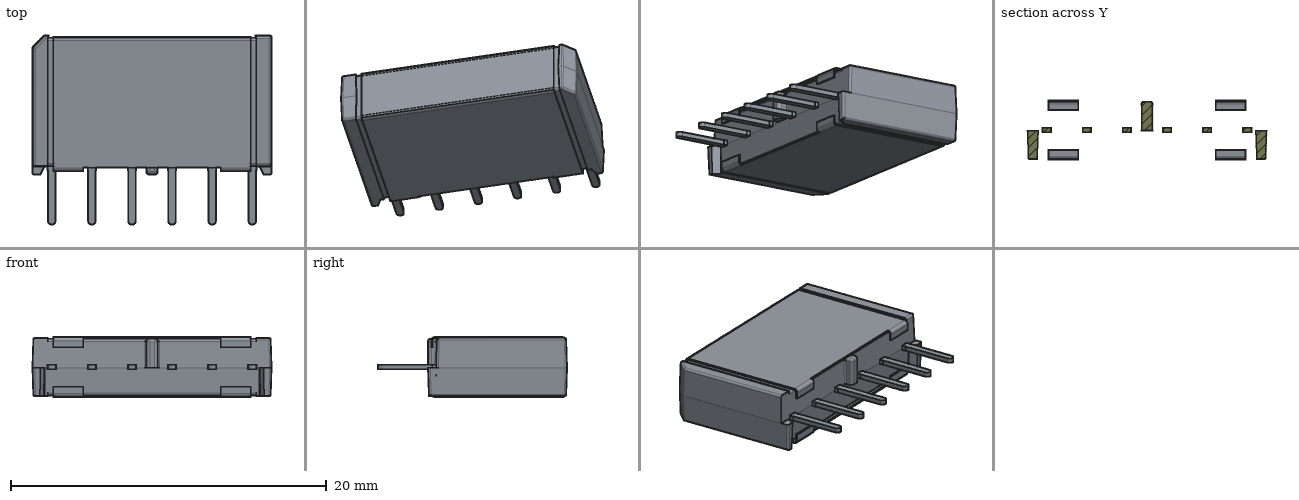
import cadquery as cq
import math


length = 15.16
depth = 8.31
overall_depth = 11.99
parting_z = -0.03
housing_half_height = 1.85
draft_angle = 1.9
corner_cut = 0.76
edge_radius = 0.14
end_block_inner_x = 6.55

inner_wall_margin = 0.12
face_margin = 0.15

foot_drop = 0.52
foot_tip_width = 0.52
foot_root_width = 0.77

core_half_height = 1.8
core_back_y = 8.15
core_edge_radius = 0.17

cover_length = 12.49
cover_front_y = -0.08
cover_back_y = 8.23
cover_height = 3.8
cover_half_height = cover_height / 2
cover_bend_radius = 0.23
tab_length = 1.9
tab_front_y = -0.3
tab_edge_z = 1.26
sheet_thickness = cover_half_height - core_half_height

rib_width = 0.73
rib_drop = 0.52
rib_top_z = 1.8
rib_edge_radius = 0.21
rib_root_radius = 0.1

pin_count = 6
pin_row_span = 12.7
pin_pitch = pin_row_span / (pin_count - 1)
pin_width = 0.49
pin_thickness = 0.3
pin_tip_y = depth - overall_depth
shoulder_width = 0.55
shoulder_end_y = -0.25
pin_root_y = 0.76

upper_height = housing_half_height - parting_z
lower_height = housing_half_height + parting_z
draft_slope = math.tan(math.radians(draft_angle))


def drafted(outline, height):
    """Extrude an outline from the parting plane, up or down, narrowing away from it."""
    base = cq.Workplane("XY", origin=(0, 0, parting_z)).polyline(outline).close()
    return base.extrude(height, taper=draft_angle)


def block_outline(side, has_foot):
    """Plan outline of one end block; side is -1 for the left and 1 for the right."""
    half = length / 2
    back = [(half, depth), (end_block_inner_x, depth)]
    if side < 0:
        back = [(half, depth - corner_cut), (half - corner_cut, depth), (end_block_inner_x, depth)]
    front = [(end_block_inner_x, 0), (half, 0)]
    if has_foot:
        front = [
            (end_block_inner_x, 0),
            (half - foot_root_width, 0),
            (half - foot_tip_width, -foot_drop),
            (half, -foot_drop),
        ]
    return [(side * x, y) for x, y in front + back]


def edges_in_plan(side, x_range, y_range):
    """Select edges by the plan position of their centres, with x measured outwards."""
    x_low, x_high = sorted(side * x for x in x_range)
    y_low, y_high = y_range
    return cq.selectors.BoxSelector((x_low, y_low, -length), (x_high, y_high, length))


def end_block(side):
    """One end of the housing, with rounded outer edges and a foot on its lower half."""
    upper_front_limit = -face_margin if side > 0 else face_margin
    outer_range = (end_block_inner_x + inner_wall_margin, length)
    side_and_back = edges_in_plan(side, outer_range, (face_margin, length))
    upper_rounding = edges_in_plan(side, outer_range, (upper_front_limit, length))
    foot_tip = edges_in_plan(side, (length / 2 - face_margin, length), (-length, face_margin - foot_drop))

    upper = drafted(block_outline(side, False), upper_height)
    upper = upper.edges("not <Z").edges(upper_rounding).fillet(edge_radius)
    lower = drafted(block_outline(side, True), -lower_height)
    lower = lower.edges("not >Z").edges(side_and_back + foot_tip).fillet(edge_radius)
    return upper.union(lower)


def core():
    """Middle of the housing, with drafted front face and rounded long edges."""
    rise = core_half_height - parting_z
    fall = core_half_height + parting_z
    profile = [
        (0, parting_z),
        (rise * draft_slope, core_half_height),
        (core_back_y, core_half_height),
        (core_back_y, -core_half_height),
        (fall * draft_slope, -core_half_height),
    ]
    half_length = end_block_inner_x + inner_wall_margin
    body = cq.Workplane("YZ").polyline(profile).close().extrude(half_length, both=True)
    return body.edges("|X").edges(">Z or <Z").fillet(core_edge_radius)


def box_between(x_range, y_range, z_range):
    """Box spanning the given ranges along the three axes."""
    corner = (x_range[0], y_range[0], z_range[0])
    sizes = [high - low for low, high in (x_range, y_range, z_range)]
    return cq.Workplane("XY").box(*sizes, centered=False).translate(corner)


def bent_tab(x_range):
    """Tab bent down from the front edge of the cover, standing just clear of the housing."""
    rear_y = tab_front_y + cover_bend_radius + sheet_thickness
    outside = box_between(x_range, (tab_front_y, rear_y), (tab_edge_z, cover_half_height))
    inside = box_between(x_range, (tab_front_y + sheet_thickness, rear_y), (tab_edge_z, core_half_height))
    outside = outside.edges("|X and >Z and <Y").fillet(cover_bend_radius)
    inside = inside.edges("|X and >Z and <Y").fillet(cover_bend_radius - sheet_thickness)
    return outside.cut(inside)


def cover():
    """U-shaped sheet over the top, back and bottom of the core, with four front tabs."""
    half = cover_length / 2
    x_range = (-half, half)
    sheet = box_between(x_range, (cover_front_y, cover_back_y), (-cover_half_height, cover_half_height))
    sheet = sheet.edges("|X and >Y").fillet(cover_bend_radius)
    hollow = box_between(x_range, (cover_front_y, core_back_y), (-core_half_height, core_half_height))
    sheet = sheet.cut(hollow)
    for start_x in (-half, half - tab_length):
        tab = bent_tab((start_x, start_x + tab_length))
        sheet = sheet.union(tab).union(tab.mirror("XY"))
    return sheet


def rib():
    """Upright rib with rounded outer edges and concave roots."""
    half = rib_width / 2
    base = box_between((-half, half), (-rib_drop, core_edge_radius), (parting_z, rib_top_z))
    post = base.edges("(<Y and |Z) or (>Z and (not >Y))").fillet(rib_edge_radius)
    root_height = core_half_height - core_edge_radius - parting_z
    for side in (-1, 1):
        root_edge_x = side * (half + rib_root_radius)
        root = (
            cq.Workplane("XY", origin=(0, 0, parting_z))
            .moveTo(side * half, -rib_root_radius)
            .radiusArc((root_edge_x, 0), side * rib_root_radius)
            .lineTo(root_edge_x, core_edge_radius)
            .lineTo(side * half, core_edge_radius)
            .close()
            .extrude(root_height)
        )
        root = root.rotate((0, 0, parting_z), (1, 0, parting_z), -draft_angle)
        post = post.union(root)
    return post


def pin(center_x):
    """Flat pin with a wider shoulder at the housing and a round tip."""
    half = pin_width / 2
    shoulder_half = shoulder_width / 2
    return (
        cq.Workplane("XY", origin=(center_x, 0, -pin_thickness / 2))
        .moveTo(-shoulder_half, pin_root_y)
        .lineTo(-shoulder_half, shoulder_end_y)
        .lineTo(-half, shoulder_end_y)
        .lineTo(-half, pin_tip_y + half)
        .threePointArc((0, pin_tip_y), (half, pin_tip_y + half))
        .lineTo(half, shoulder_end_y)
        .lineTo(shoulder_half, shoulder_end_y)
        .lineTo(shoulder_half, pin_root_y)
        .close()
        .extrude(pin_thickness)
    )


result = core().union(end_block(-1)).union(end_block(1)).union(cover()).union(rib())
for index in range(pin_count):
    result = result.union(pin((index - (pin_count - 1) / 2) * pin_pitch))